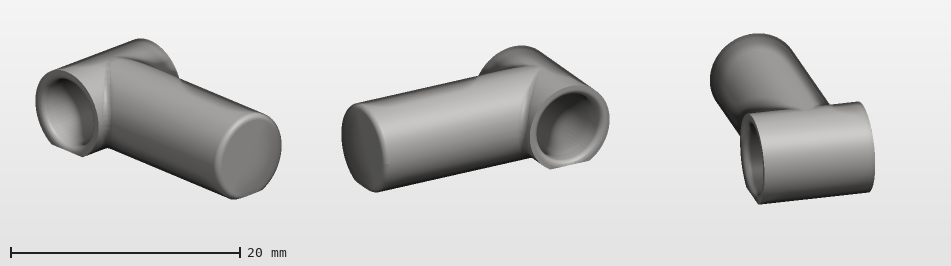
import cadquery as cq

total_length = 22.0
outer_diameter = 8.0
sleeve_width = 10.0
bore_diameter = 6.2
height = 7.5
edge_radius = 0.5

outer_radius = outer_diameter / 2
handle_end = total_length - outer_radius
flat_level = outer_radius - height


def make_sleeve():
    """Solid sleeve along Y, centred on the origin."""
    return cq.Workplane("XZ").circle(outer_radius).extrude(sleeve_width / 2, both=True)


def make_handle():
    """Handle of the same diameter along +X, with a rounded free end."""
    handle = cq.Workplane("YZ").circle(outer_radius).extrude(handle_end)
    return handle.faces(">X").edges().fillet(edge_radius)


def make_bore():
    """Through bore along Y, flaring to rounded mouths at both ends."""
    bore_radius = bore_diameter / 2
    mouth_radius = bore_radius + edge_radius
    half_width = sleeve_width / 2
    straight_end = half_width - edge_radius
    arc_inset = edge_radius * (1 - 0.5**0.5)
    profile = (
        cq.Workplane("XY")
        .moveTo(0, -half_width)
        .lineTo(mouth_radius, -half_width)
        .threePointArc((bore_radius + arc_inset, arc_inset - half_width), (bore_radius, -straight_end))
        .lineTo(bore_radius, straight_end)
        .threePointArc((bore_radius + arc_inset, half_width - arc_inset), (mouth_radius, half_width))
        .lineTo(0, half_width)
        .close()
    )
    return profile.revolve(360, (0, 0, 0), (0, 1, 0))


def cut_flat(body):
    """Remove everything below the flat underside."""
    margin = outer_diameter
    cutter = (
        cq.Workplane("XY")
        .workplane(offset=flat_level)
        .rect(2 * (total_length + margin), 2 * sleeve_width)
        .extrude(-margin)
    )
    return body.cut(cutter)


def round_seams(body):
    """Fillet the elliptical seams where the handle leaves the sleeve."""
    seams = [edge for edge in body.edges().vals() if edge.geomType() == "ELLIPSE"]
    return body.newObject(seams).fillet(edge_radius)


body = make_sleeve().union(make_handle())
body = round_seams(body)
body = cut_flat(body)
result = body.cut(make_bore())